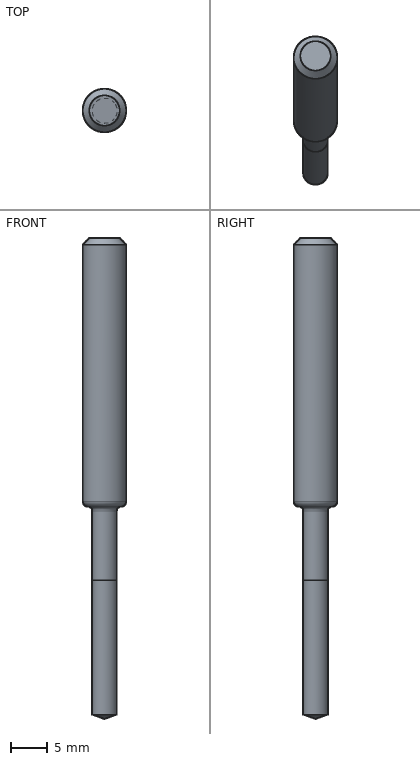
import cadquery as cq
import math

total_length = 66.0
shank_diameter = 6.0
neck_diameter = 3.4

end_chamfer = 0.9
shoulder_start_z = 29.9
shoulder_round = 0.8

joint_z = 19.0
point_angle = 140.0

shank_radius = shank_diameter / 2
neck_radius = neck_diameter / 2
point_height = neck_radius / math.tan(math.radians(point_angle / 2))

shoulder_z = shoulder_start_z - shoulder_round
neck_fillet = shank_radius - neck_radius - shoulder_round
neck_top_z = shoulder_z - neck_fillet


def revolve_about_z(profile):
    """Turn a half profile, drawn as (radius, z), about the Z axis."""
    return profile.close().revolve(360, (0, 0, 0), (0, 1, 0))


def make_holder():
    """Chamfered shank with a rounded shoulder that blends into the neck."""
    arc_share = math.sqrt(0.5)
    round_center_r = shank_radius - shoulder_round
    round_middle = (
        round_center_r + shoulder_round * arc_share,
        shoulder_start_z - shoulder_round * arc_share,
    )
    fillet_center_r = neck_radius + neck_fillet
    fillet_middle = (
        fillet_center_r - neck_fillet * arc_share,
        neck_top_z + neck_fillet * arc_share,
    )
    profile = (
        cq.Workplane("XZ")
        .moveTo(0, total_length)
        .lineTo(shank_radius - end_chamfer, total_length)
        .lineTo(shank_radius, total_length - end_chamfer)
        .lineTo(shank_radius, shoulder_start_z)
        .threePointArc(round_middle, (round_center_r, shoulder_z))
        .threePointArc(fillet_middle, (neck_radius, neck_top_z))
        .lineTo(neck_radius, joint_z)
        .lineTo(0, joint_z)
    )
    return revolve_about_z(profile)


def make_cutting_tip():
    """Cylinder that continues the neck and ends in a conical drill point."""
    profile = (
        cq.Workplane("XZ")
        .moveTo(0, 0)
        .lineTo(neck_radius, point_height)
        .lineTo(neck_radius, joint_z)
        .lineTo(0, joint_z)
    )
    return revolve_about_z(profile)


holder = make_holder()
cutting_tip = make_cutting_tip()

result = cq.Compound.makeCompound([holder.val(), cutting_tip.val()])